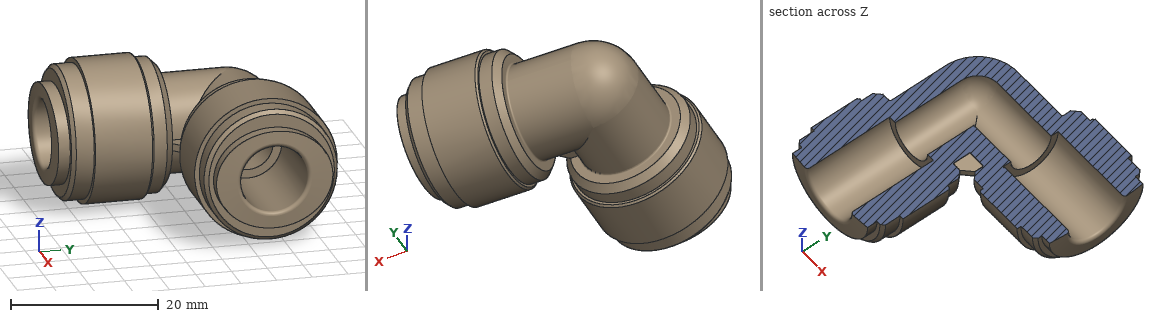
import cadquery as cq
import math

outer_length = 35.9
sleeve_radius = 9.998
arm_length = outer_length - sleeve_radius

pipe_radius = 6.85
root_fillet = 0.25

socket_radius = 9.35
socket_start = 9.75
back_bevel = 1.0
socket_end = 24.05
front_bevel = 0.55

sleeve_start = 12.7
sleeve_end = 21.0
sleeve_bevel = 0.3

collet_width = 16.3
collet_height = 13.85
collet_end_drop = 0.2

passage_radius = 3.5
tube_radius = 4.7
tube_depth = 14.35
mouth_rounding = 0.55

web_thickness = 1.0


def cylinder(radius, start, end):
    """Cylinder along +X."""
    return cq.Workplane("YZ").workplane(offset=start).circle(radius).extrude(end - start)


def revolved_pipe():
    """Pipe along +X that flares through a small fillet into the back of the socket."""
    fillet_start = socket_start - root_fillet
    fillet_middle = root_fillet * math.sqrt(0.5)
    return (
        cq.Workplane("XY")
        .polyline([(socket_start, pipe_radius + root_fillet), (socket_start, 0), (0, 0)])
        .lineTo(0, pipe_radius)
        .lineTo(fillet_start, pipe_radius)
        .threePointArc(
            (fillet_start + fillet_middle, pipe_radius + root_fillet - fillet_middle),
            (socket_start, pipe_radius + root_fillet),
        )
        .close()
        .revolve(360, (0, 0, 0), (1, 0, 0))
    )


def collet():
    """Oval ring whose end face is a shallow cone rising towards the mouth."""
    oval = (
        cq.Workplane("YZ")
        .workplane(offset=socket_end)
        .ellipse(collet_width / 2, collet_height / 2)
        .extrude(arm_length - socket_end)
    )
    half_width = collet_width / 2
    mouth_radius = tube_radius + mouth_rounding
    coned_end = (
        cq.Workplane("XY")
        .moveTo(socket_end, 0)
        .lineTo(socket_end, half_width)
        .lineTo(arm_length - collet_end_drop, half_width)
        .lineTo(arm_length, mouth_radius)
        .lineTo(arm_length, 0)
        .close()
        .revolve(360, (0, 0, 0), (1, 0, 0))
    )
    return oval.intersect(coned_end)


def arm_outside():
    """Solid arm along +X, without its bores."""
    socket = cylinder(socket_radius, socket_start, socket_end)
    socket = socket.faces("<X").chamfer(back_bevel)
    socket = socket.faces(">X").chamfer(front_bevel)
    sleeve = cylinder(sleeve_radius, sleeve_start, sleeve_end)
    sleeve = sleeve.faces("<X").chamfer(sleeve_bevel)
    return revolved_pipe().union(socket).union(sleeve).union(collet())


def arm_bore():
    """Narrow passage, tube seat and rounded mouth along +X."""
    passage = cylinder(passage_radius, 0, arm_length)
    rounding_start = arm_length - mouth_rounding
    rounding_middle = mouth_rounding * math.sqrt(0.5)
    seat = (
        cq.Workplane("XY")
        .moveTo(arm_length - tube_depth, 0)
        .lineTo(arm_length - tube_depth, tube_radius)
        .lineTo(rounding_start, tube_radius)
        .threePointArc(
            (rounding_start + rounding_middle, tube_radius + mouth_rounding - rounding_middle),
            (arm_length, tube_radius + mouth_rounding),
        )
        .lineTo(arm_length, 0)
        .close()
        .revolve(360, (0, 0, 0), (1, 0, 0))
    )
    return passage.union(seat)


def with_second_arm(arm):
    """Join an arm along +X to its mirror twin along -Y."""
    twin = arm.rotate((0, 0, 0), (0, 0, 1), -90)
    return arm.union(twin)


def corner_web():
    """Thin web below the middle plane in the inner corner, cut off between the two sockets."""
    far = socket_start
    near = socket_radius - back_bevel
    return (
        cq.Workplane("XY")
        .workplane(offset=-web_thickness)
        .polyline([(0, 0), (far, 0), (far, -near), (near, -far), (0, -far)])
        .close()
        .extrude(web_thickness)
    )


outside = with_second_arm(arm_outside()).union(cq.Workplane("XY").sphere(pipe_radius))
bores = with_second_arm(arm_bore()).union(cq.Workplane("XY").sphere(passage_radius))
result = outside.union(corner_web()).cut(bores)